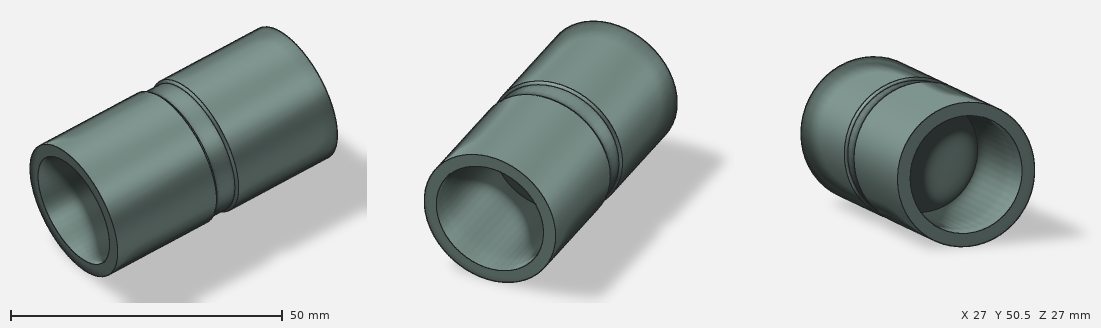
import cadquery as cq

length = 50.5
outer_diameter = 27.0
bore_diameter = 22.0
groove_diameter = 26.0
groove_mouth_width = 5.1
web_thickness = 4.1

outer_radius = outer_diameter / 2
groove_radius = groove_diameter / 2
groove_depth = outer_radius - groove_radius
half_length = length / 2
half_mouth = groove_mouth_width / 2
half_floor = half_mouth - groove_depth
bore_depth = (length - web_thickness) / 2


def make_body():
    """Round bar along Y with a central groove that has sloped flanks."""
    profile = [
        (0, -half_length),
        (outer_radius, -half_length),
        (outer_radius, -half_mouth),
        (groove_radius, -half_floor),
        (groove_radius, half_floor),
        (outer_radius, half_mouth),
        (outer_radius, half_length),
        (0, half_length),
    ]
    return cq.Workplane("XY").polyline(profile).close().revolve(360, (0, 0, 0), (0, 1, 0))


def bore_end(body, face):
    """Cut a blind bore from one end, leaving the central web."""
    return body.faces(face).workplane(centerOption="CenterOfBoundBox").hole(bore_diameter, bore_depth)


result = make_body()
for end_face in ("<Y", ">Y"):
    result = bore_end(result, end_face)